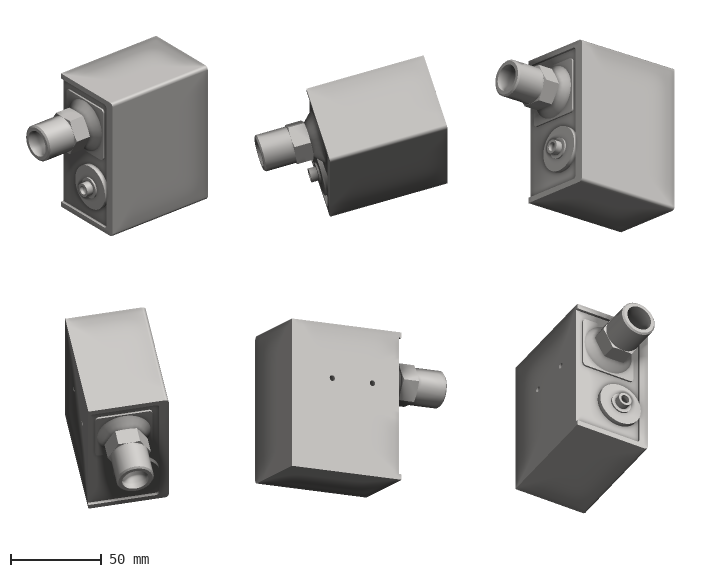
import cadquery as cq
import math

overall_length = 101.0
width = 45.1
height = 84.0
depth = 67.8
corner_radius = 2.0

recess_depth = 1.7
recess_wall = 3.1
recess_side_wall = 5.3
recess_corner_radius = 2.0

connector_x = 20.1
connector_drop = 24.1
connector_z = height - connector_drop
pad_size = 32.0
pad_thickness = 1.1
pad_corner_radius = 2.0
cone_base_diameter = 30.1
cone_tip_diameter = 18.6
cone_length = 5.8
hex_across_flats = 21.0
hex_length = 10.0
hex_corner_relief = 0.4
spigot_diameter = 20.9
spigot_chamfer = 0.9
bore_diameter = 15.0

port_x = 27.0
port_z = 24.0
port_steps = [(26.0, 2.8), (12.0, 1.0), (8.0, 4.1)]
port_bore_diameter = 5.0

side_hole_diameter = 3.2
side_hole_depth = 6.1
side_hole_z = 52.9
side_hole_positions_y = [18.1, 42.9]

hex_back = pad_thickness + cone_length
hex_front = hex_back + hex_length
spigot_end = overall_length - depth + recess_depth


def front_plane(x, z, distance=0.0):
    """Plane facing -Y, a given distance outward from the recess floor."""
    return cq.Workplane("XZ", origin=(x, recess_depth - distance, z))


def make_housing():
    housing = cq.Workplane("XY").box(width, depth, height, centered=False)
    housing = housing.edges("|Y and >X").fillet(corner_radius)
    recess = cq.Workplane("XY").box(
        width - recess_side_wall, recess_depth, height - 2 * recess_wall, centered=False
    )
    recess = recess.edges("|Y and >X").fillet(recess_corner_radius)
    return housing.cut(recess.translate((0, 0, recess_wall)))


def make_hex():
    across_corners = hex_across_flats / math.cos(math.pi / 6)
    prism = (
        front_plane(connector_x, connector_z, hex_back)
        .polygon(6, across_corners)
        .extrude(hex_length)
    )
    corner_height = (across_corners - hex_across_flats) / 2
    trimmer = (
        front_plane(connector_x, connector_z, hex_back)
        .circle(across_corners / 2)
        .extrude(hex_length)
        .faces("<Y")
        .chamfer(hex_corner_relief, corner_height)
        .faces(">Y")
        .chamfer(hex_corner_relief, corner_height)
    )
    return prism.intersect(trimmer)


def make_connector():
    pad = (
        front_plane(connector_x, connector_z)
        .rect(pad_size, pad_size)
        .extrude(pad_thickness)
        .edges("|Y")
        .fillet(pad_corner_radius)
    )
    cone = (
        front_plane(connector_x, connector_z, pad_thickness)
        .circle(cone_base_diameter / 2)
        .workplane(offset=cone_length)
        .circle(cone_tip_diameter / 2)
        .loft()
    )
    spigot = (
        front_plane(connector_x, connector_z, hex_front)
        .circle(spigot_diameter / 2)
        .extrude(spigot_end - hex_front)
        .faces("<Y")
        .chamfer(spigot_chamfer)
    )
    bore = (
        front_plane(connector_x, connector_z, pad_thickness)
        .circle(bore_diameter / 2)
        .extrude(spigot_end - pad_thickness)
    )
    return pad.union(cone).union(make_hex()).union(spigot).cut(bore)


def make_port():
    port = cq.Workplane("XZ")
    reach = 0.0
    for diameter, length in port_steps:
        port = port.add(front_plane(port_x, port_z, reach).circle(diameter / 2).extrude(length))
        reach += length
    port = port.combine()
    bore = front_plane(port_x, port_z).circle(port_bore_diameter / 2).extrude(reach)
    return port.cut(bore)


def make_side_holes():
    centers = [(y, side_hole_z) for y in side_hole_positions_y]
    return (
        cq.Workplane("YZ")
        .pushPoints(centers)
        .circle(side_hole_diameter / 2)
        .extrude(side_hole_depth)
    )


result = make_housing().union(make_connector()).union(make_port()).cut(make_side_holes())